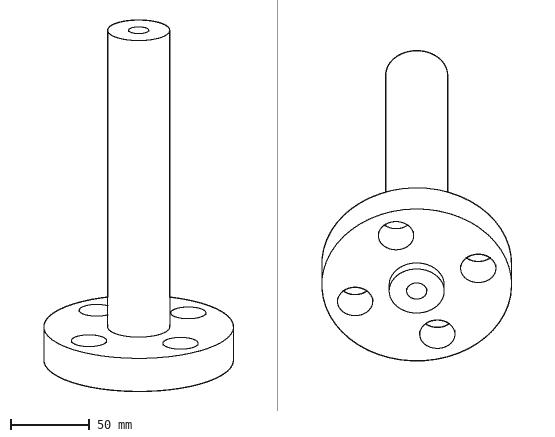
import cadquery as cq

total_height = 228.5
raised_face_height = 6.5
flange_thickness = 22.5
neck_height = total_height - raised_face_height - flange_thickness

flange_diameter = 120.7
neck_diameter = 39.5
raised_face_diameter = 35.0
bore_diameter = 12.8

bolt_hole_count = 4
bolt_hole_diameter = 22.5
bolt_circle_diameter = 82.5


def make_body():
    """Stack the three coaxial cylinders from the raised face upward."""
    return (
        cq.Workplane("XY")
        .circle(raised_face_diameter / 2)
        .extrude(raised_face_height)
        .faces(">Z")
        .workplane()
        .circle(flange_diameter / 2)
        .extrude(flange_thickness)
        .faces(">Z")
        .workplane()
        .circle(neck_diameter / 2)
        .extrude(neck_height)
    )


def make_bore():
    """Cylinder that opens the centre along the whole height."""
    return cq.Workplane("XY").circle(bore_diameter / 2).extrude(total_height)


def make_bolt_holes():
    """Cylinders that pass through the flange on the bolt circle."""
    return (
        cq.Workplane("XY")
        .workplane(offset=raised_face_height)
        .polarArray(bolt_circle_diameter / 2, 0, 360, bolt_hole_count)
        .circle(bolt_hole_diameter / 2)
        .extrude(flange_thickness)
    )


result = make_body().cut(make_bore()).cut(make_bolt_holes())